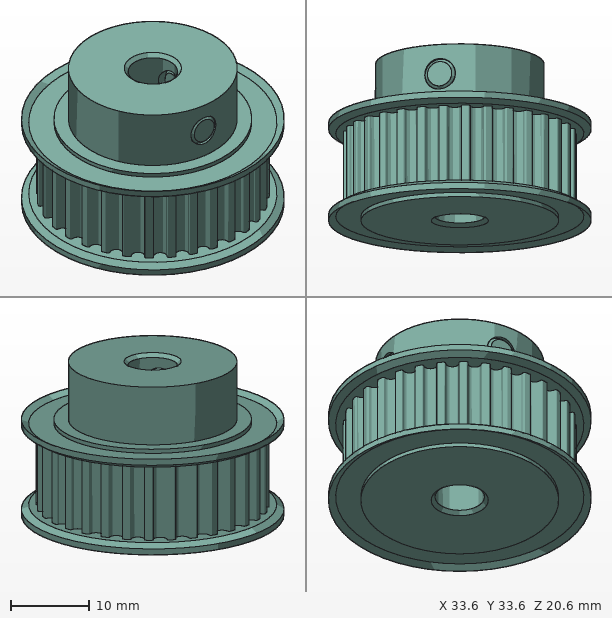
import cadquery as cq
import math


total_height = 20.62
flanged_height = 12.87

tooth_count = 32
tooth_outer_radius = 14.9
groove_radius = 0.86
groove_depth = 1.22
tooth_tip_fillet = 0.26
body_end_radius = 12.65

flange_radius = 16.8
flange_bend_radius = 15.87
flange_rim_height = 0.82
flange_dish_depth = 0.55
flange_height = flange_rim_height + flange_dish_depth

hub_radius = 10.8
bore_radius = 3.15
bore_chamfer = 0.5

screw_angles = (0, 90)
screw_radius = 2.0
screw_tip_distance = 3.2
screw_chamfer = 0.4
screw_end_distance = hub_radius
screw_height = (flanged_height + total_height) / 2


def cylinder(radius, bottom, top):
    return cq.Workplane("XY").workplane(offset=bottom).circle(radius).extrude(top - bottom)


def groove_cutter():
    """One round-bottomed tooth groove with rounded tooth tips, centred on +Y."""
    groove_bottom = tooth_outer_radius - groove_depth
    arc_centre_y = groove_bottom + groove_radius

    tip_x = groove_radius + tooth_tip_fillet
    tip_centre_distance = tooth_outer_radius - tooth_tip_fillet
    tip_y = math.sqrt(tip_centre_distance**2 - tip_x**2)
    end_x = tip_x * tooth_outer_radius / tip_centre_distance
    end_y = tip_y * tooth_outer_radius / tip_centre_distance
    mid_angle = (math.atan2(tip_y, tip_x) + math.pi) / 2
    mid_x = tip_x + tooth_tip_fillet * math.cos(mid_angle)
    mid_y = tip_y + tooth_tip_fillet * math.sin(mid_angle)

    return (
        cq.Workplane("XY")
        .moveTo(-end_x, end_y)
        .threePointArc((-mid_x, mid_y), (-groove_radius, tip_y))
        .lineTo(-groove_radius, arc_centre_y)
        .threePointArc((0, groove_bottom), (groove_radius, arc_centre_y))
        .lineTo(groove_radius, tip_y)
        .threePointArc((mid_x, mid_y), (end_x, end_y))
        .lineTo(end_x, flange_radius)
        .lineTo(-end_x, flange_radius)
        .close()
        .extrude(flanged_height)
    )


def toothed_body():
    body = cylinder(tooth_outer_radius, 0, flanged_height)
    cutter = groove_cutter()
    tooth_angle = 360 / tooth_count
    for index in range(tooth_count):
        body = body.cut(cutter.rotate((0, 0, 0), (0, 0, 1), index * tooth_angle))
    return body


def lower_flange():
    """Dished flange around the body end, open towards -Z."""
    return (
        cq.Workplane("XZ")
        .moveTo(0, flange_dish_depth)
        .lineTo(flange_bend_radius, flange_dish_depth)
        .lineTo(flange_radius, 0)
        .lineTo(flange_radius, flange_rim_height)
        .lineTo(flange_bend_radius, flange_height)
        .lineTo(0, flange_height)
        .close()
        .revolve(360, (0, 0, 0), (0, 1, 0))
    )


def upper_flange():
    return lower_flange().mirror("XY").translate((0, 0, flanged_height))


def bore_cutter():
    """Through bore with a chamfer at both ends."""
    chamfer_radius = bore_radius + bore_chamfer
    return (
        cq.Workplane("XZ")
        .moveTo(0, 0)
        .lineTo(chamfer_radius, 0)
        .lineTo(bore_radius, bore_chamfer)
        .lineTo(bore_radius, total_height - bore_chamfer)
        .lineTo(chamfer_radius, total_height)
        .lineTo(0, total_height)
        .close()
        .revolve(360, (0, 0, 0), (0, 1, 0))
    )


def radial_cylinder(start, end):
    """Cylinder of the set screw size along +X, between two distances from the axis."""
    plane = cq.Workplane("YZ", origin=(start, 0, screw_height))
    return plane.circle(screw_radius).extrude(end - start)


def set_screw():
    """Set screw along +X chamfered at both ends."""
    screw = radial_cylinder(screw_tip_distance, screw_end_distance)
    return screw.faces("<X or >X").chamfer(screw_chamfer)


tooth_zone = cylinder(flange_radius, flange_dish_depth, flanged_height - flange_dish_depth)
result = toothed_body().intersect(tooth_zone)
result = result.union(cylinder(body_end_radius, 0, flanged_height))
result = result.union(lower_flange())
result = result.union(upper_flange())
result = result.union(cylinder(hub_radius, flanged_height, total_height))
result = result.cut(bore_cutter())

for screw_angle in screw_angles:
    screw_hole = radial_cylinder(0, screw_end_distance)
    result = result.cut(screw_hole.rotate((0, 0, 0), (0, 0, 1), screw_angle))
    result = result.union(set_screw().rotate((0, 0, 0), (0, 0, 1), screw_angle))